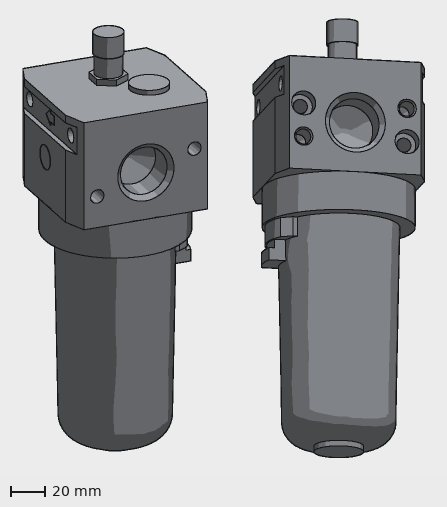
import cadquery as cq
import math

foot_height = 3.3
bowl_shoulder_z = 18.3
collar_bottom_z = 135.5
body_bottom_z = 158.7
body_top_z = 226.9
overall_height = 257.2

body_width = 90.0
half_body = body_width / 2
front_flat_half_width = 30.0
corner_slant_angle = 20.0
corner_setback = (half_body - front_flat_half_width) * math.tan(math.radians(corner_slant_angle))

bowl_top_radius = 36.0
bowl_shoulder_radius = 33.7
foot_radius = 14.7

knob_x = -10.0
knob_diameter = 18.5
knob_height = 13.6
neck_diameter = 17.0
nut_across_flats = 20.0
nut_height = 3.9
plug_x = 10.8
plug_y = 17.0
plug_diameter = 24.2
plug_height = 3.0

groove_depth = 3.3
groove_top_z = 222.0
groove_bottom_z = 204.7
groove_mid_z = (groove_top_z + groove_bottom_z) / 2
mount_hole_diameter = 9.0
mount_hole_x = front_flat_half_width

mark_depth = 0.3
round_mark_diameter = 15.2
arrow_tip_x = -6.2
arrow_neck_x = 0.3
arrow_tail_x = 6.0
arrow_head_half_height = 5.1
arrow_shaft_half_height = 2.8

port_z = 188.5
port_diameter = 29.8
port_mouth_diameter = 36.0
port_depth = 20.0
drill_point_angle = 118.0
bolt_y = 31.0
bolt_dz = 10.0
bolt_hole_diameter = 8.5
counterbore_diameter = 14.5
counterbore_depth = 9.0
tapped_hole_diameter = 9.0
tapped_mouth_diameter = 11.0
tapped_hole_depth = 15.0

latch_arc_radius = 30.0
guard_bottom_z = 124.0
guard_outer_y = 43.7
guard_half_width = 20.5
guard_arc_half_width = 16.7
latch_side_y = 32.2
button_half_width = 10.0
button_neck_outer_y = 42.7
button_outer_y = 45.8
button_step_z = 118.8
button_bottom_z = 111.4


def cylinder(x, y, bottom_z, top_z, diameter):
    return cq.Workplane("XY", origin=(x, y, bottom_z)).circle(diameter / 2).extrude(top_z - bottom_z)


def body_block():
    corner_y = half_body - corner_setback
    quarter = [(half_body, corner_y), (front_flat_half_width, half_body)]
    back = quarter + [(-x, y) for x, y in reversed(quarter)]
    front = [(-x, -y) for x, y in back]
    outline = cq.Workplane("XY", origin=(0, 0, body_bottom_z)).polyline(back + front).close()
    return outline.extrude(body_top_z - body_bottom_z)


def bowl():
    """Tapered bowl with a rounded bottom edge, standing on a small foot."""
    round_radius = bowl_shoulder_z - foot_height
    round_mid = round_radius * math.sqrt(0.5)
    round_center_x = bowl_shoulder_radius - round_radius
    profile = (
        cq.Workplane("XZ")
        .lineTo(foot_radius, 0)
        .lineTo(foot_radius, foot_height)
        .lineTo(round_center_x, foot_height)
        .threePointArc(
            (round_center_x + round_mid, bowl_shoulder_z - round_mid),
            (bowl_shoulder_radius, bowl_shoulder_z),
        )
        .lineTo(bowl_top_radius, collar_bottom_z)
        .lineTo(0, collar_bottom_z)
        .close()
    )
    return profile.revolve(360, (0, 0, 0), (0, 1, 0))


def top_fittings():
    nut_top_z = body_top_z + nut_height
    knob_bottom_z = overall_height - knob_height
    nut_across_corners = nut_across_flats / math.cos(math.radians(30))
    nut = (
        cq.Workplane("XY", origin=(knob_x, 0, body_top_z))
        .polygon(6, nut_across_corners)
        .extrude(nut_height)
    )
    neck = cylinder(knob_x, 0, nut_top_z, knob_bottom_z, neck_diameter)
    knob = cylinder(knob_x, 0, knob_bottom_z, overall_height, knob_diameter)
    plug = cylinder(plug_x, plug_y, body_top_z, body_top_z + plug_height, plug_diameter)
    return nut.union(neck).union(knob).union(plug)


def latch_tab(bottom_z, top_z, outer_y, arc_half_width, side_half_width, side_y):
    """Upright tab on the back of the bowl with a bowed outer face."""
    arc_drop = latch_arc_radius - math.sqrt(latch_arc_radius**2 - arc_half_width**2)
    arc_end_y = outer_y - arc_drop
    return (
        cq.Workplane("XY", origin=(0, 0, bottom_z))
        .moveTo(-side_half_width, 0)
        .lineTo(-side_half_width, side_y)
        .lineTo(-arc_half_width, arc_end_y)
        .threePointArc((0, outer_y), (arc_half_width, arc_end_y))
        .lineTo(side_half_width, side_y)
        .lineTo(side_half_width, 0)
        .close()
        .extrude(top_z - bottom_z)
    )


def latch():
    guard_sides = (guard_arc_half_width, guard_half_width, latch_side_y)
    guard = latch_tab(guard_bottom_z, collar_bottom_z, guard_outer_y, *guard_sides)
    button_sides = (button_half_width, button_half_width, latch_side_y)
    neck = latch_tab(button_step_z, guard_bottom_z, button_neck_outer_y, *button_sides)
    button = latch_tab(button_bottom_z, button_step_z, button_outer_y, *button_sides)
    return guard.union(neck).union(button)


def label_groove(side):
    """Groove across the whole face; the slanted corners end it. side is -1 front, +1 back."""
    floor_y = half_body - groove_depth
    height = groove_top_z - groove_bottom_z
    center_y = side * (floor_y + groove_depth / 2)
    return cq.Workplane("XY", origin=(0, center_y, groove_mid_z)).box(body_width, groove_depth, height)


def mount_holes():
    return (
        cq.Workplane("XZ", origin=(0, 0, groove_mid_z))
        .pushPoints([(-mount_hole_x, 0), (mount_hole_x, 0)])
        .circle(mount_hole_diameter / 2)
        .extrude(half_body, both=True)
    )


def front_marks():
    """Flow arrow on the groove floor and a round mark level with the ports."""
    floor_y = -half_body + groove_depth
    upper = [
        (arrow_neck_x, arrow_head_half_height),
        (arrow_neck_x, arrow_shaft_half_height),
        (arrow_tail_x, arrow_shaft_half_height),
    ]
    lower = [(x, -z) for x, z in reversed(upper)]
    arrow = (
        cq.Workplane("XZ", origin=(0, floor_y, groove_mid_z))
        .polyline([(arrow_tip_x, 0)] + upper + lower)
        .close()
        .extrude(-mark_depth)
    )
    round_mark = (
        cq.Workplane("XZ", origin=(0, -half_body, port_z))
        .circle(round_mark_diameter / 2)
        .extrude(-mark_depth)
    )
    return arrow.union(round_mark)


def drilled_hole(y, z, diameter, mouth_diameter, depth):
    """Blind hole into the -X side: 45 degree mouth, straight bore and conical drill point."""
    radius = diameter / 2
    mouth_radius = mouth_diameter / 2
    point_length = radius / math.tan(math.radians(drill_point_angle / 2))
    return (
        cq.Workplane("XY", origin=(-half_body, y, z))
        .lineTo(0, mouth_radius)
        .lineTo(mouth_radius - radius, radius)
        .lineTo(depth, radius)
        .lineTo(depth + point_length, 0)
        .close()
        .revolve(360, (0, 0, 0), (1, 0, 0))
    )


def counterbored_hole(y, z):
    side = cq.Workplane("YZ", origin=(-half_body, y, z))
    bore = side.circle(bolt_hole_diameter / 2).extrude(body_width)
    return bore.union(side.circle(counterbore_diameter / 2).extrude(counterbore_depth))


collar = cylinder(0, 0, collar_bottom_z, body_bottom_z, body_width)
result = body_block().union(collar).union(bowl()).union(latch()).union(top_fittings())

for side in (-1, 1):
    result = result.cut(label_groove(side))
    result = result.cut(counterbored_hole(side * bolt_y, port_z + side * bolt_dz))
    tapped_hole_at = (side * bolt_y, port_z - side * bolt_dz)
    tapped_hole_size = (tapped_hole_diameter, tapped_mouth_diameter, tapped_hole_depth)
    result = result.cut(drilled_hole(*tapped_hole_at, *tapped_hole_size))

inlet_port = drilled_hole(0, port_z, port_diameter, port_mouth_diameter, port_depth)
outlet_port = inlet_port.mirror("YZ")
result = result.cut(inlet_port).cut(outlet_port).cut(mount_holes()).cut(front_marks())